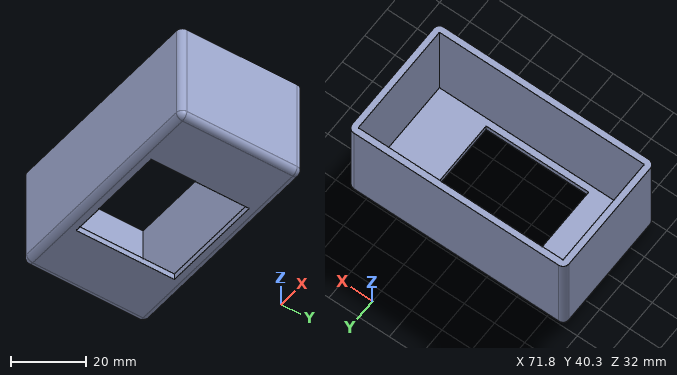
import cadquery as cq

length = 71.8
width = 40.3
height = 32.0

wall = 2.0
edge_radius = wall

window_length = 33.9
window_width = 32.25


def rounded_block():
    """Solid block with rounded upright and bottom edges and a flat top."""
    block = cq.Workplane("XY").box(length, width, height, centered=(True, True, False))
    return block.edges("|Z or <Z").fillet(edge_radius)


def cavity():
    """Sharp-cornered interior, open at the top."""
    return (
        cq.Workplane("XY")
        .workplane(offset=wall)
        .rect(length - 2 * wall, width - 2 * wall)
        .extrude(height - wall)
    )


def floor_window():
    """Centered opening through the floor."""
    return cq.Workplane("XY").rect(window_length, window_width).extrude(wall)


result = rounded_block().cut(cavity()).cut(floor_window())